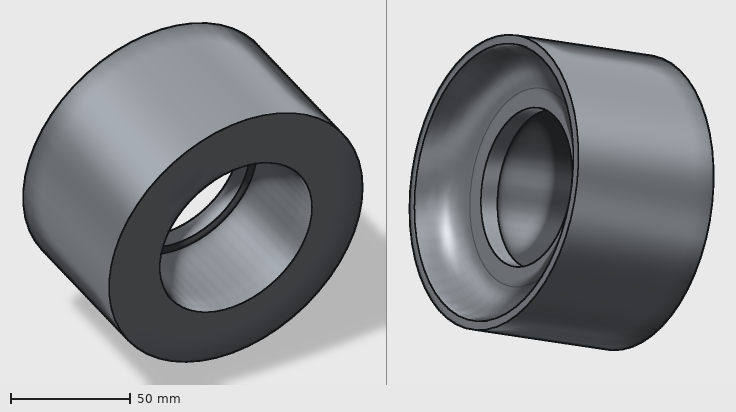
import cadquery as cq

outer_diameter = 125.0
width = 69.0

recess_diameter = 117.5
floor_diameter = 84.2
dish_radius = (recess_diameter - floor_diameter) / 2

lip_diameter = 67.5
lip_length = 8.4
bore_diameter = 75.0

left_face = -width / 2
right_face = width / 2
floor_x = left_face + dish_radius
lip_end_x = floor_x + lip_length

dish_arc_middle = (
    left_face + dish_radius * 0.5**0.5,
    floor_diameter / 2 + dish_radius * 0.5**0.5,
)
half_section = (
    cq.Workplane("XY")
    .moveTo(left_face, outer_diameter / 2)
    .lineTo(left_face, recess_diameter / 2)
    .threePointArc(dish_arc_middle, (floor_x, floor_diameter / 2))
    .lineTo(floor_x, lip_diameter / 2)
    .lineTo(lip_end_x, lip_diameter / 2)
    .lineTo(lip_end_x, bore_diameter / 2)
    .lineTo(right_face, bore_diameter / 2)
    .lineTo(right_face, outer_diameter / 2)
    .close()
)

result = half_section.revolve(360, (0, 0, 0), (1, 0, 0))